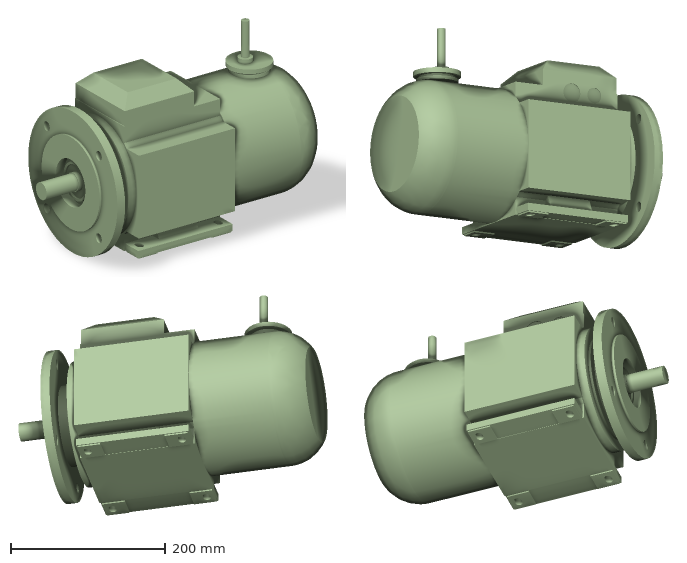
import cadquery as cq
import math


overall_length = 394
overall_height = 260

shaft_radius = 12.0
shaft_length = 50.0
shaft_collar_radius = 13.0

flange_radius = 100.0
flange_thickness = 12.2
spigot_radius = 65.0
spigot_height = 3.5
bolt_spacing = 116.5
bolt_hole_radius = 6.7

seal_bore_radius = 33.0
seal_bore_floor = 9.5
seal_ring_outer_radius = 26.8
seal_ring_inner_radius = 23.2
seal_ring_front = 4.0
seal_ring_floor = 6.7

neck_radius = 53.0
neck_end = 25.2
neck_step_radius = 54.8
neck_step_end = 27.5
cap_radius = 68.0
cap_end = 30.7
end_shield_radius = 82.5

housing_front = 42.0
housing_back = 194.5
housing_half_width = 55.0
housing_half_height = 88.3
panel_half_width = 88.5
panel_half_height = 58.7
panel_root = 6.0

cover_radius = 88.0
cover_dome_start = 300.0
cover_end = overall_length - shaft_length
dome_arc_radius = 51.5

box_front = 43.5
box_back = 153.5
box_slope_start = 109.5
box_top = 126.0
entry_holes = [(110.5, 12.5), (77.0, 10.2)]
entry_height = 82.7
entry_depth = 1.0

foot_front = 43.7
foot_back = 193.5
foot_outer = 85.0
foot_top = -78.0
foot_bottom = -88.0
foot_hole_x = 70.0
foot_hole_front = 56.0
foot_hole_spacing = 125.3
foot_hole_width = 10.0
foot_hole_length = 14.0
pad_bottom = -90.0
pad_inner = 56.5
pad_outer = 83.5
pad_length = 30.5
pad_inset = 1.5
web_front = 87.5
web_back = 149.7
web_foot_x = 69.7

gland_y = 280.0
gland_bottom = 87.5
gland_tiers = [(27.5, 91.8), (24.0, 95.5), (31.0, 101.5)]
lever_y = 274.0
lever_hub_radius = 10.2
lever_hub_top = 108.5
lever_radius = 5.5
lever_top = overall_height - flange_radius


def disc(radius, y_start, y_end):
    """Cylinder on the shaft axis between two Y positions."""
    plane = cq.Workplane("XZ", origin=(0, y_start, 0))
    return plane.circle(radius).extrude(y_start - y_end)


def post(radius, y, z_start, z_end):
    """Upright cylinder at X = 0."""
    return cq.Workplane("XY", origin=(0, y, z_start)).circle(radius).extrude(z_end - z_start)


def block(x_range, y_range, z_range):
    """Axis-aligned box given by its limits."""
    limits = (x_range, y_range, z_range)
    sizes = [high - low for low, high in limits]
    return cq.Workplane("XY").box(*sizes, centered=False).translate([low for low, _ in limits])


def along_shaft(points, y_start, y_end):
    """Closed X-Z outline extruded between two Y positions."""
    plane = cq.Workplane("XZ", origin=(0, y_start, 0))
    return plane.polyline(points).close().extrude(y_start - y_end)


def on_both_sides(solid):
    """The solid together with its mirror image across X = 0."""
    return solid.union(solid.mirror("YZ"))


def make_front_end():
    """Flange with spigot, seal bore, neck and end shield, plus the shaft."""
    body = disc(spigot_radius, -spigot_height, 0)
    body = body.union(disc(flange_radius, 0, flange_thickness))
    body = body.union(disc(neck_radius, flange_thickness, neck_end))
    body = body.union(disc(neck_step_radius, neck_end, neck_step_end))
    body = body.union(disc(cap_radius, neck_step_end, cap_end))
    body = body.union(disc(end_shield_radius, cap_end, housing_front))

    body = body.cut(disc(seal_bore_radius, -spigot_height, seal_bore_floor))
    body = body.union(disc(seal_ring_outer_radius, seal_ring_front, seal_bore_floor))
    body = body.cut(disc(seal_ring_inner_radius, seal_ring_front, seal_ring_floor))

    bolt_holes = (
        cq.Workplane("XZ")
        .rect(bolt_spacing, bolt_spacing, forConstruction=True)
        .vertices()
        .circle(bolt_hole_radius)
        .extrude(-flange_thickness)
    )
    body = body.cut(bolt_holes)

    body = body.union(disc(shaft_collar_radius, 0, housing_front))
    return body.union(disc(shaft_radius, -shaft_length, 0))


def make_housing():
    """Core with a wide panel on each side, joined by sloped corners."""
    core_x = housing_half_width
    root_x = core_x + panel_root
    root_z = panel_half_height + panel_root
    quarter = [
        (core_x, housing_half_height),
        (core_x, root_z),
        (root_x, panel_half_height),
        (panel_half_width, panel_half_height),
    ]
    right_side = quarter + [(x, -z) for x, z in reversed(quarter)]
    left_side = [(-x, z) for x, z in reversed(right_side)]
    return along_shaft(right_side + left_side, housing_front, housing_back)


def make_fan_cover():
    """Cylinder with a domed end whose arc is tangent to the cylinder."""
    dome_length = cover_end - cover_dome_start
    arc_centre = cover_radius - dome_arc_radius

    def dome_radius(distance):
        return arc_centre + math.sqrt(dome_arc_radius**2 - distance**2)

    profile = (
        cq.Workplane("XY")
        .moveTo(0, housing_back)
        .lineTo(cover_radius, housing_back)
        .lineTo(cover_radius, cover_dome_start)
        .threePointArc(
            (dome_radius(dome_length / 2), cover_dome_start + dome_length / 2),
            (dome_radius(dome_length), cover_end),
        )
        .lineTo(0, cover_end)
        .close()
    )
    return profile.revolve(360, (0, 0, 0), (0, 1, 0))


def make_terminal_box():
    """Box with a 45-degree slope along each of its four top edges."""
    box = block((-housing_half_width, housing_half_width), (box_front, box_back), (0, box_top))
    return box.faces(">Z").chamfer(box_top - box_slope_start)


def make_cable_entries():
    """Shallow round recesses in the -X side of the terminal box."""
    entries = cq.Workplane("YZ", origin=(-housing_half_width, 0, 0))
    for y, radius in entry_holes:
        entries = entries.moveTo(y, entry_height).circle(radius)
    return entries.extrude(entry_depth)


def make_feet():
    """Two slotted foot plates with pads below and a sloped web above."""
    foot_y = (foot_front, foot_back)
    plate = block((housing_half_width, foot_outer), foot_y, (foot_bottom, foot_top))

    front_pad = (foot_front + pad_inset, foot_front + pad_inset + pad_length)
    back_pad = (foot_back - pad_inset - pad_length, foot_back - pad_inset)
    for pad_y in (front_pad, back_pad):
        plate = plate.union(block((pad_inner, pad_outer), pad_y, (pad_bottom, foot_bottom)))

    web_outline = [
        (0, foot_top),
        (web_foot_x, foot_top),
        (housing_half_width + panel_root, -panel_half_height),
        (0, -panel_half_height),
    ]
    plate = plate.union(along_shaft(web_outline, web_front, web_back))

    slots = (
        cq.Workplane("XY", origin=(0, 0, pad_bottom))
        .pushPoints([(foot_hole_x, foot_hole_front + step * foot_hole_spacing) for step in (0, 1)])
        .slot2D(foot_hole_length, foot_hole_width)
        .extrude(foot_top - pad_bottom)
    )
    return on_both_sides(plate.cut(slots))


def make_brake_lever():
    """Flat-bottomed gland on the crown of the fan cover, with a hub and an upright hand lever."""
    lever = post(lever_radius, lever_y, cover_radius / 2, lever_top)
    lever = lever.union(post(lever_hub_radius, lever_y, gland_bottom, lever_hub_top))
    tier_bottom = gland_bottom
    for radius, top in gland_tiers:
        lever = lever.union(post(radius, gland_y, tier_bottom, top))
        tier_bottom = top
    return lever


result = (
    make_housing()
    .union(make_front_end())
    .union(make_fan_cover())
    .union(make_terminal_box())
    .union(make_feet())
    .union(make_brake_lever())
    .cut(make_cable_entries())
)